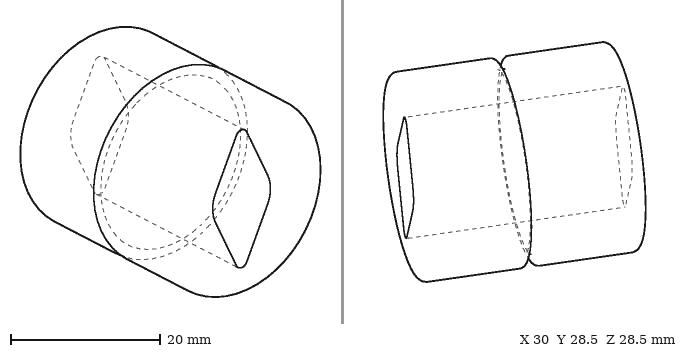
import cadquery as cq
import math

length = 30.0
diameter = 28.5
end_round = 1.0

groove_width = 1.6
groove_depth = 1.75
groove_round = 0.5

middle_radius = 5.0
tip_radius = 1.0
tip_offset = 9.2


def make_body():
    """Cylinder centred on the origin with rounded ends."""
    cylinder = cq.Workplane("YZ").circle(diameter / 2).extrude(length / 2, both=True)
    return cylinder.edges("%CIRCLE").fillet(end_round)


def make_groove():
    """Ring whose section has a rounded mouth, straight walls and rounded floor corners."""
    outer = diameter / 2
    floor = outer - groove_depth
    half_width = groove_width / 2
    mouth_half = half_width + groove_round
    floor_half = half_width - groove_round
    mouth_wall = outer - groove_round
    floor_wall = floor + groove_round
    section = (
        cq.Workplane("XY")
        .moveTo(-mouth_half, outer)
        .radiusArc((-half_width, mouth_wall), groove_round)
        .lineTo(-half_width, floor_wall)
        .radiusArc((-floor_half, floor), -groove_round)
        .lineTo(floor_half, floor)
        .radiusArc((half_width, floor_wall), -groove_round)
        .lineTo(half_width, mouth_wall)
        .radiusArc((mouth_half, outer), groove_round)
        .close()
    )
    return section.revolve(360, (0, 0, 0), (1, 0, 0))


def make_opening():
    """Rounded diamond prism, tall along Z, running the full length."""
    lean = math.asin((middle_radius - tip_radius) / tip_offset)
    middle_y = middle_radius * math.cos(lean)
    middle_z = middle_radius * math.sin(lean)
    tip_y = tip_radius * math.cos(lean)
    tip_z = tip_offset + tip_radius * math.sin(lean)
    tip_end = tip_offset + tip_radius
    outline = (
        cq.Workplane("YZ")
        .moveTo(middle_y, middle_z)
        .lineTo(tip_y, tip_z)
        .threePointArc((0, tip_end), (-tip_y, tip_z))
        .lineTo(-middle_y, middle_z)
        .threePointArc((-middle_radius, 0), (-middle_y, -middle_z))
        .lineTo(-tip_y, -tip_z)
        .threePointArc((0, -tip_end), (tip_y, -tip_z))
        .lineTo(middle_y, -middle_z)
        .threePointArc((middle_radius, 0), (middle_y, middle_z))
        .close()
    )
    return outline.extrude(length / 2, both=True)


result = make_body().cut(make_groove()).cut(make_opening())